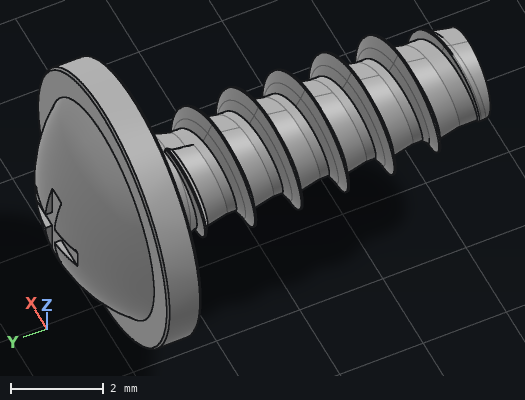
import cadquery as cq
import math


total_length = 10.06

flange_diameter = 6.5
flange_thickness = 0.82
flange_edge_chamfer = 0.05
dome_base_radius = 2.58
dome_height = 1.26
slot_width = 0.45
slot_depth = 0.16

neck_radius = 1.18
neck_length = 0.72
neck_taper_length = 0.45
under_head_fillet = 0.49
core_radius = 1.05
tip_dish_radius = 0.98
tip_dish_depth = 0.06

pitch = 1.12
crest_radius = 1.51
crest_half_width = 0.02
knee_radius = 1.26
knee_offset = 0.13
upper_foot_offset = 0.25
lower_foot_radius = 1.15
lower_foot_offset = 0.13
ramp_end_offset = 0.69
thread_burial = 0.01
buried_radius = 0.6
first_full_crest = -1.83
run_in_turns = 1.0
full_turns = 4.0
run_out_turns = 1.5
run_in_drop = 0.26
spans_per_turn = 2
points_per_span = 8

flange_radius = flange_diameter / 2
shank_length = total_length - flange_thickness - dome_height
dome_top = flange_thickness + dome_height
tip = -shank_length
foot_radius = core_radius - thread_burial


def make_head():
    """Flange with chamfered edges, and a dome cut by a cross of two slots."""
    flange = (
        cq.Workplane("XZ")
        .circle(flange_radius)
        .extrude(-flange_thickness)
        .edges()
        .chamfer(flange_edge_chamfer)
    )
    corner_radius = slot_width / math.sqrt(2)
    center_drop = (dome_base_radius**2 - corner_radius**2 - dome_height**2) / (2 * dome_height)
    sphere_radius = math.hypot(dome_base_radius, center_drop)
    sphere_center = flange_thickness - center_drop
    apex = sphere_center + sphere_radius
    half_angle = math.atan2(dome_base_radius, center_drop) / 2
    dome_middle = (
        sphere_radius * math.sin(half_angle),
        sphere_center + sphere_radius * math.cos(half_angle),
    )
    overlap_y = flange_thickness / 2
    dome = (
        cq.Workplane("XY")
        .moveTo(0, overlap_y)
        .lineTo(dome_base_radius, overlap_y)
        .lineTo(dome_base_radius, flange_thickness)
        .threePointArc(dome_middle, (0, apex))
        .close()
        .revolve(360, (0, 0, 0), (0, 1, 0))
    )
    head = flange.union(dome)
    slot_length = 2 * dome_base_radius
    slot_floor = dome_top - slot_depth
    for size_x, size_z in ((slot_width, slot_length), (slot_length, slot_width)):
        slot = cq.Workplane("XY").box(size_x, 2 * slot_depth, size_z)
        head = head.cut(slot.translate((0, slot_floor + slot_depth, 0)))
    return head


def make_core():
    """Shank without thread: fillet under the head, neck, taper and straight core."""
    fillet_outer = neck_radius + under_head_fillet
    arc_step = under_head_fillet * (1 - math.sqrt(0.5))
    overlap_y = flange_thickness / 2
    return (
        cq.Workplane("XY")
        .moveTo(0, overlap_y)
        .lineTo(fillet_outer, overlap_y)
        .lineTo(fillet_outer, 0)
        .threePointArc((neck_radius + arc_step, -arc_step), (neck_radius, -under_head_fillet))
        .lineTo(neck_radius, -neck_length)
        .lineTo(core_radius, -neck_length - neck_taper_length)
        .lineTo(core_radius, tip)
        .lineTo(0, tip)
        .close()
        .revolve(360, (0, 0, 0), (0, 1, 0))
    )


def ridge_drop(turn):
    """How far the ridge is sunk inward; turn 0 is where full height starts."""
    if turn < 0:
        return -run_in_drop * turn / run_in_turns
    if turn > full_turns:
        return (crest_radius - foot_radius) * (turn - full_turns) / run_out_turns
    return 0.0


def make_thread():
    """Right-handed thread as a shell of ruled faces between helical rails."""
    section = [
        (buried_radius, upper_foot_offset),
        (foot_radius, upper_foot_offset),
        (knee_radius, knee_offset),
        (crest_radius, crest_half_width),
        (crest_radius, -crest_half_width),
        (lower_foot_radius, -lower_foot_offset),
        (foot_radius, -ramp_end_offset),
        (buried_radius, -ramp_end_offset),
    ]

    def rail_point(corner, turn):
        radius, offset = corner
        drop = ridge_drop(turn)
        if radius >= knee_radius:
            radius -= drop
        radius = min(radius, crest_radius - drop)
        angle = 2 * math.pi * turn
        y = first_full_crest - pitch * turn + offset
        return cq.Vector(-radius * math.sin(angle), y, radius * math.cos(angle))

    first_turn = -run_in_turns
    last_turn = full_turns + run_out_turns
    spans = round((last_turn - first_turn) * spans_per_turn)
    span = (last_turn - first_turn) / spans
    faces = []
    for i in range(spans):
        stations = [first_turn + span * (i + j / points_per_span) for j in range(points_per_span + 1)]
        rails = []
        for corner in section:
            points = [rail_point(corner, turn) for turn in stations]
            rails.append(cq.Edge.makeSpline(points, parameters=stations))
        for rail, next_rail in zip(rails, rails[1:] + rails[:1]):
            faces.append(cq.Face.makeRuledSurface(rail, next_rail))
    for end_turn in (first_turn, last_turn):
        corners = [rail_point(corner, end_turn) for corner in section]
        faces.append(cq.Face.makeFromWires(cq.Wire.makePolygon(corners, close=True)))
    shell = cq.Shell.makeShell(faces)
    return cq.Workplane(cq.Solid.makeSolid(shell))


def make_tip_trim():
    """Everything beyond the tip face, with a shallow dish reaching into the tip."""
    clearance = 2 * pitch
    dish_sphere = (tip_dish_radius**2 + tip_dish_depth**2) / (2 * tip_dish_depth)
    half_angle = math.asin(tip_dish_radius / dish_sphere) / 2
    dish_middle = (
        dish_sphere * math.sin(half_angle),
        tip + tip_dish_depth - dish_sphere * (1 - math.cos(half_angle)),
    )
    return (
        cq.Workplane("XY")
        .moveTo(0, tip - clearance)
        .lineTo(flange_radius, tip - clearance)
        .lineTo(flange_radius, tip)
        .lineTo(tip_dish_radius, tip)
        .threePointArc(dish_middle, (0, tip + tip_dish_depth))
        .close()
        .revolve(360, (0, 0, 0), (0, 1, 0))
    )


shank = make_core().union(make_thread()).cut(make_tip_trim())
result = make_head().union(shank)